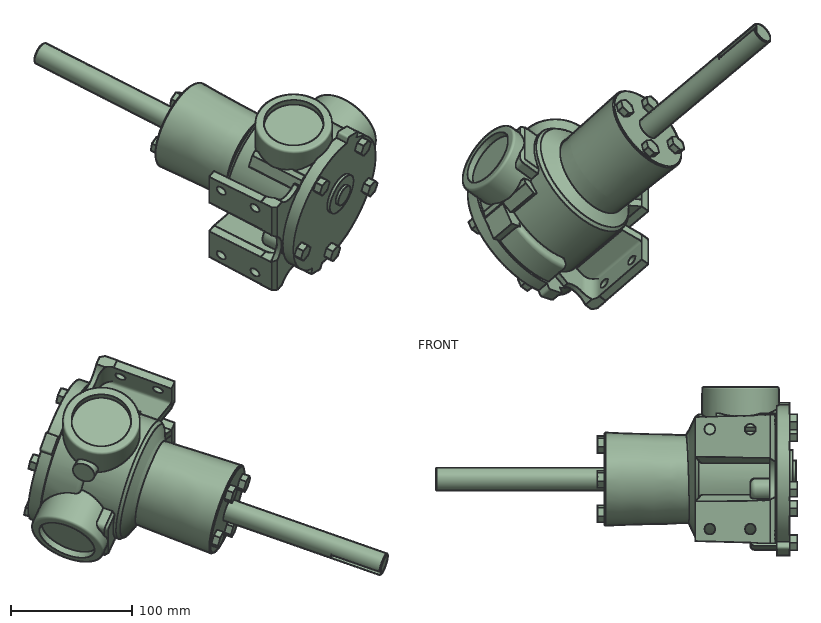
import cadquery as cq
import math


SHAFT_R = 9.5
SHAFT_END_X = -251.5
SHAFT_CHAMFER = 0.8
KEY_WIDTH = 4.8
KEY_DEPTH = 3.0
KEY_LENGTH = 43.5

HOUSING_FACE_X = -112.3
HOUSING_FACE_R = 38.6
HOUSING_LIP = 1.0
TAPER_END_X = -58.2
HOUSING_R = 37.0
NECK_X = -45.0
NECK_R = 36.5
BODY_OFFSET = 1.8
SHOULDER_X = -42.5
SHOULDER_R = 38.8
BODY_START_X = -37.4
BODY_CORNER_R = 49.5
BODY_FULL_X = -34.5
BODY_R = 51.8
BODY_END_X = 30.0

SWELL_R = 58.5
SWELL_ROUND = 4.0
SWELLS = [(0.0, -27.0, 117.0), (8.0, 250.0, 315.0)]

HEX_ACROSS_FLATS = 12.7
HEX_CORNER_R = HEX_ACROSS_FLATS / math.sqrt(3)
HOUSING_BOLT_RADIUS = 28.6
HOUSING_BOLT_COUNT = 4
HOUSING_HEAD_HEIGHT = 5.8
COVER_BOLT_RADIUS = 53.0
COVER_BOLT_COUNT = 5
COVER_BOLT_FIRST_ANGLE = 45.0
COVER_HEAD_HEIGHT = 6.4
HOUSING_HEX_TURN = 15.0
BOLT_BOSS_R = 9.0
BOLT_BOSS_ROUND = 4.0
BOLT_BOSS_START_X = 8.0
BOSSED_BOLT_ANGLE = 189.0

PORT_FACE = 76.2
PORT_R = 31.8
PORT_BORE_R = 24.6
PORT_RECESS = 6.0
PORT_ROUND = 2.0

COVER_R = 61.3
COVER_END_X = 40.5
TAB_ANGLES = [65.0, 245.0]
TAB_R = 66.7
TAB_WIDTH = 16.0
TAB_CORNER_R = 2.0
HUB_CENTRE = 6.5
HUB_R = 17.6
HUB_HEIGHT = 2.8
HUB_STEP_R = 9.0
HUB_STEP_HEIGHT = 5.4

FOOT_FACE_Y = -69.85
FOOT_THICKNESS = 7.5
FOOT_BACK_Y = FOOT_FACE_Y + FOOT_THICKNESS
FOOT_START_X = -37.4
FOOT_INNER_Z = 17.5
FOOT_OUTER_Z = 53.0
FOOT_TAPER = 0.9
FOOT_EDGE_CUT = (4.0, 2.8)
FOOT_HOLE_D = 8.8
FOOT_HOLE_XS = [-25.3, 8.1]
FOOT_HOLE_Z = 41.2
WEB_START_X = 24.0
WEB_END_X = 28.6
WEB_FILLET_R = 10.0
WEB_NOTCH_R = 20.5
WEB_NOTCH_Y = -81.5
WEB_WAIST_Z = 45.5
WEB_WAIST_Y = -45.0
WEB_ROOT_Y = -36.0
WEB_ROOT_Z = 49.0
WEB_CORNER_Y = -60.0
WEB_ROOT_END_Z = 29.0
RIB_THICKNESS = 9.0
RIB_SETBACK = 6.0
RIB_ROOT_Y = -46.0
RIB_ROOT_Z = 12.0
RIB_FILLET_R = 3.0

SIDE_BOSS_R = 9.5
SIDE_BOSS_CENTRE = (39.2, 53.0)
SIDE_BOSS_TILT = 17.0
SIDE_BOSS_LENGTH = 16.0

RIB_BLOCK_X = (-32.0, -21.0)
RIB_BLOCK_Y = 67.0
RIB_BLOCK_ROUND = 4.0
RIB_BLOCK_CHAMFER = 2.5
RIB_BLOCK_HALF_HEIGHT = 23.5

RIDGE_X = (-20.0, 29.0)
RIDGE_SECTION = [(-22.0, 44.0), (-27.0, 54.3), (-31.5, 52.0), (-37.0, 43.0), (-30.0, 35.0)]
WEDGE_SECTION = [(52.0, -32.0), (41.7, -50.5), (32.0, -46.0), (40.0, -28.0)]
WEDGE_START_X = 8.0


def disc_x(radius, start, end, y=0.0, z=0.0):
    """Cylinder along X between two X positions."""
    return cq.Workplane("YZ", origin=(start, y, z)).circle(radius).extrude(end - start)


def prism_x(points, start, end):
    """Prism along X with a (Y, Z) polygon section."""
    return cq.Workplane("YZ", origin=(start, 0, 0)).polyline(points).close().extrude(end - start)


def block(x_range, y_range, z_range):
    """Box between two corners."""
    size = [high - low for low, high in (x_range, y_range, z_range)]
    corner = (x_range[0], y_range[0], z_range[0])
    return cq.Workplane("XY").box(*size, centered=False).translate(corner)


def ring_positions(radius, count, first_angle):
    """(Y, Z) places of equally spaced bolts around the shaft axis."""
    angles = [math.radians(first_angle + 360.0 * i / count) for i in range(count)]
    return [(radius * math.cos(a), radius * math.sin(a)) for a in angles]


def hex_heads(positions, start, height, turn=0.0):
    """Hexagon heads on a plane normal to X, each turned about its own axis."""
    head = cq.Workplane("YZ").polygon(6, 2 * HEX_CORNER_R).extrude(height)
    head = head.rotate((0, 0, 0), (1, 0, 0), turn)
    heads = cq.Workplane("YZ")
    for y, z in positions:
        heads = heads.union(head.translate((start, y, z)))
    return heads


def make_shaft():
    shaft = disc_x(SHAFT_R, SHAFT_END_X, HOUSING_FACE_X + HOUSING_LIP).faces("<X").chamfer(SHAFT_CHAMFER)
    keyway = block(
        (SHAFT_END_X, SHAFT_END_X + KEY_LENGTH),
        (SHAFT_R - KEY_DEPTH, SHAFT_R + KEY_DEPTH),
        (-KEY_WIDTH / 2, KEY_WIDTH / 2),
    )
    return shaft.cut(keyway)


def revolve_x(profile):
    """Turn an (X, radius) profile about the shaft axis."""
    return cq.Workplane("XY").polyline(profile).close().revolve(360, (0, 0, 0), (1, 0, 0))


def make_housing():
    return revolve_x([
        (HOUSING_FACE_X, 0),
        (HOUSING_FACE_X, HOUSING_FACE_R - HOUSING_LIP),
        (HOUSING_FACE_X + HOUSING_LIP, HOUSING_FACE_R),
        (TAPER_END_X, HOUSING_R),
        (NECK_X, NECK_R),
        (BODY_FULL_X, NECK_R),
        (BODY_FULL_X, 0),
    ])


def make_body():
    """Pump body, set off from the shaft axis towards both ports."""
    body = revolve_x([
        (NECK_X, 0),
        (NECK_X, NECK_R - BODY_OFFSET),
        (SHOULDER_X, SHOULDER_R),
        (BODY_START_X, BODY_CORNER_R),
        (BODY_FULL_X, BODY_R),
        (BODY_END_X, BODY_R),
        (BODY_END_X, 0),
    ])
    return body.translate((0, BODY_OFFSET, BODY_OFFSET))


def make_swell(start_x, first_angle, last_angle):
    """Sector of a disc about the shaft axis, rounded on its front rim."""
    first = math.radians(first_angle)
    last = math.radians(last_angle)
    middle = (first + last) / 2
    ends = [(SWELL_R * math.cos(a), SWELL_R * math.sin(a)) for a in (first, middle, last)]
    sector = (
        cq.Workplane("YZ", origin=(start_x, 0, 0))
        .lineTo(*ends[0])
        .threePointArc(ends[1], ends[2])
        .close()
        .extrude(BODY_END_X - start_x)
    )
    return sector.faces("<X").edges("%CIRCLE").fillet(SWELL_ROUND)


def make_port():
    """Top port, its axis along +Z."""
    return cq.Workplane("XY").circle(PORT_R).extrude(PORT_FACE).faces(">Z").edges().fillet(PORT_ROUND)


def make_port_recess():
    start = PORT_FACE - PORT_RECESS
    return cq.Workplane("XY").workplane(offset=start).circle(PORT_BORE_R).extrude(PORT_RECESS)


def to_side(shape):
    """Turn a shape from the top port to the side port on +Y."""
    return shape.rotate((0, 0, 0), (1, 0, 0), -90)


def make_cover():
    cover = disc_x(COVER_R, BODY_END_X, COVER_END_X)
    for angle in TAB_ANGLES:
        tab = block((BODY_END_X, COVER_END_X), (0, TAB_R), (-TAB_WIDTH / 2, TAB_WIDTH / 2))
        tab = tab.edges("|X and >Y").fillet(TAB_CORNER_R)
        cover = cover.union(tab.rotate((0, 0, 0), (1, 0, 0), angle))
    for radius, height in [(HUB_R, HUB_HEIGHT), (HUB_STEP_R, HUB_STEP_HEIGHT)]:
        cover = cover.union(disc_x(radius, BODY_END_X, COVER_END_X + height, HUB_CENTRE, HUB_CENTRE))
    bolts = ring_positions(COVER_BOLT_RADIUS, COVER_BOLT_COUNT, COVER_BOLT_FIRST_ANGLE)
    return cover.union(hex_heads(bolts, COVER_END_X, COVER_HEAD_HEIGHT))


def make_bolt_boss():
    """Boss behind the cover bolt that lies between the feet."""
    angle = math.radians(BOSSED_BOLT_ANGLE)
    y = COVER_BOLT_RADIUS * math.cos(angle)
    z = COVER_BOLT_RADIUS * math.sin(angle)
    boss = disc_x(BOLT_BOSS_R, BOLT_BOSS_START_X, BODY_END_X, y, z)
    return boss.faces("<X").edges().fillet(BOLT_BOSS_ROUND)


def make_foot():
    """Upper foot: tapered plate with a sloping gusset rib on its inner edge."""
    plate = (
        cq.Workplane("XZ", origin=(0, FOOT_BACK_Y, 0))
        .moveTo(FOOT_START_X, FOOT_INNER_Z + FOOT_TAPER)
        .lineTo(WEB_END_X, FOOT_INNER_Z)
        .lineTo(WEB_END_X, FOOT_OUTER_Z)
        .lineTo(FOOT_START_X, FOOT_OUTER_Z - 2 * FOOT_TAPER)
        .close()
        .extrude(FOOT_THICKNESS)
    )
    rib_section = [
        (FOOT_BACK_Y, FOOT_INNER_Z + FOOT_TAPER),
        (RIB_ROOT_Y, RIB_ROOT_Z),
        (RIB_ROOT_Y, RIB_ROOT_Z + RIB_THICKNESS),
        (FOOT_BACK_Y, FOOT_INNER_Z + FOOT_TAPER + RIB_THICKNESS),
    ]
    rib_outline = [
        (FOOT_START_X, FOOT_BACK_Y),
        (FOOT_START_X + RIB_SETBACK, RIB_ROOT_Y),
        (WEB_END_X, RIB_ROOT_Y),
        (WEB_END_X, FOOT_BACK_Y),
    ]
    front_slope = cq.Workplane("XY").polyline(rib_outline).close().extrude(FOOT_OUTER_Z)
    rib = prism_x(rib_section, FOOT_START_X, WEB_END_X).intersect(front_slope)
    foot = plate.union(rib)
    inner_corner = (0, FOOT_BACK_Y, FOOT_INNER_Z + FOOT_TAPER + RIB_THICKNESS)
    return foot.edges(cq.NearestToPointSelector(inner_corner)).fillet(RIB_FILLET_R)


def make_web():
    """Rear web joining both feet to the body, with a round notch between the feet."""
    outline = (
        cq.Workplane("YZ", origin=(FOOT_START_X, 0, 0))
        .moveTo(0, -WEB_ROOT_END_Z)
        .lineTo(WEB_ROOT_Y, -WEB_ROOT_Z)
        .threePointArc((WEB_WAIST_Y, -WEB_WAIST_Z), (WEB_CORNER_Y, -FOOT_OUTER_Z))
        .lineTo(FOOT_FACE_Y, -FOOT_OUTER_Z)
        .lineTo(FOOT_FACE_Y, FOOT_OUTER_Z)
        .lineTo(WEB_CORNER_Y, FOOT_OUTER_Z)
        .threePointArc((WEB_WAIST_Y, WEB_WAIST_Z), (WEB_ROOT_Y, WEB_ROOT_Z))
        .lineTo(0, WEB_ROOT_END_Z)
        .close()
        .extrude(WEB_END_X - FOOT_START_X)
    )
    bend = (
        cq.Workplane("XY", origin=(0, 0, -FOOT_OUTER_Z))
        .moveTo(WEB_START_X, 0)
        .lineTo(WEB_START_X, FOOT_BACK_Y + WEB_FILLET_R)
        .radiusArc((WEB_START_X - WEB_FILLET_R, FOOT_BACK_Y), WEB_FILLET_R)
        .lineTo(WEB_START_X - WEB_FILLET_R, FOOT_FACE_Y)
        .lineTo(WEB_END_X, FOOT_FACE_Y)
        .lineTo(WEB_END_X, 0)
        .close()
        .extrude(2 * FOOT_OUTER_Z)
    )
    gap = block(
        (FOOT_START_X, WEB_START_X),
        (FOOT_FACE_Y, 0),
        (-FOOT_INNER_Z, FOOT_INNER_Z),
    )
    notch = disc_x(WEB_NOTCH_R, FOOT_START_X, WEB_END_X, WEB_NOTCH_Y)
    return outline.intersect(bend).cut(gap).cut(notch)


def make_feet():
    foot = make_foot()
    feet = foot.union(foot.mirror("XY")).union(make_web())
    holes = (
        cq.Workplane("XZ", origin=(0, FOOT_BACK_Y, 0))
        .pushPoints([(x, side * FOOT_HOLE_Z) for x in FOOT_HOLE_XS for side in (-1, 1)])
        .circle(FOOT_HOLE_D / 2)
        .extrude(FOOT_THICKNESS)
    )
    edge_points = [
        (WEB_END_X - FOOT_EDGE_CUT[0], FOOT_FACE_Y),
        (WEB_END_X, FOOT_FACE_Y + FOOT_EDGE_CUT[1]),
        (WEB_END_X, FOOT_FACE_Y),
    ]
    edge_cut = cq.Workplane("XY").polyline(edge_points).close().extrude(FOOT_OUTER_Z, both=True)
    return feet.cut(holes).cut(edge_cut)


def make_side_boss():
    y, z = SIDE_BOSS_CENTRE
    tilt = math.radians(SIDE_BOSS_TILT)
    inward = cq.Vector(0, -math.cos(tilt), -math.sin(tilt))
    return cq.Workplane(cq.Solid.makeCylinder(SIDE_BOSS_R, SIDE_BOSS_LENGTH, cq.Vector(0, y, z), inward))


def make_body_details():
    ridge = prism_x(RIDGE_SECTION, *RIDGE_X)
    mirrored_section = [(z, y) for y, z in RIDGE_SECTION]
    side_ridge = prism_x(mirrored_section, *RIDGE_X)
    wedge = prism_x(WEDGE_SECTION, WEDGE_START_X, BODY_END_X)
    rib_block = block(RIB_BLOCK_X, (0, RIB_BLOCK_Y), (-RIB_BLOCK_HALF_HEIGHT, RIB_BLOCK_HALF_HEIGHT))
    rib_block = rib_block.edges("|X and >Y").fillet(RIB_BLOCK_ROUND)
    rib_block = rib_block.faces("<X").edges("not <Y").chamfer(RIB_BLOCK_CHAMFER)
    return ridge.union(side_ridge).union(wedge).union(rib_block).union(make_side_boss())


port = make_port()
recess = make_port_recess()
housing_bolts = ring_positions(HOUSING_BOLT_RADIUS, HOUSING_BOLT_COUNT, 0)

pump = make_housing().union(make_body())
for swell in SWELLS:
    pump = pump.union(make_swell(*swell))

result = (
    pump.union(make_shaft())
    .union(hex_heads(housing_bolts, HOUSING_FACE_X, -HOUSING_HEAD_HEIGHT, HOUSING_HEX_TURN))
    .union(port)
    .union(to_side(port))
    .union(make_body_details())
    .union(make_bolt_boss())
    .union(make_feet())
    .cut(recess)
    .cut(to_side(recess))
    .union(make_cover())
)